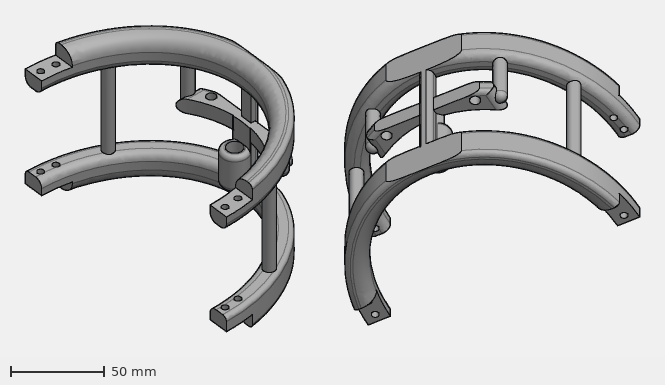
import cadquery as cq

HEIGHT = 100.0
BACK_Y = 92.2

INNER_RX = 69.0
INNER_RY = 82.5
RING_WIDTH = 13.5
OUTER_RX = INNER_RX + RING_WIDTH
OUTER_RY = INNER_RY + RING_WIDTH
RING_HEIGHT = 20.0
UPPER_RING_Z = HEIGHT - RING_HEIGHT
END_INNER_ROUND = 9.0
GAP_INNER_ROUND = 5.0
END_OUTER_ROUND = 3.0
UPPER_GAP_OUTER_ROUND = 5.0
LOWER_GAP_OUTER_ROUND = 3.0

TAB_LENGTH = 20.0
TAB_HEIGHT = RING_HEIGHT / 2
TAB_HOLE_DIAMETER = 4.2
TAB_HOLE_POINTS = [(75.6, 5.0), (74.6, 15.0)]

POST_RADIUS = 4.0
POST_EMBED = 8.0
POST_BOTTOM_Z = RING_HEIGHT - POST_EMBED
POST_TOP_Z = UPPER_RING_Z + POST_EMBED
SIDE_POST_X = 66.0
SIDE_POST_Y = 44.7
COLUMN_Y = 88.5
COLUMN_FRONT_Y = 85.5

ARM_Z = 50.0
ARM_THICKNESS = 10.0
ARM_HALF_LENGTH = 38.6
ARM_SETBACK = 0.5
ARM_OUTER_ROUND = 3.0
ARM_HOLE_DIAMETER = 6.0
ARM_HOLE_X = 26.9
ARM_HOLE_Y = 84.0
ARM_POST_Y = 77.5

PLATE_WIDTH = 14.3
PLATE_TAPER_Y = 82.3
PLATE_BOTTOM_Z = RING_HEIGHT / 2
BOSS_Y = 77.4
BOSS_RADIUS = 8.8
BOSS_HEIGHT = 25.0
BOSS_ROUND = 3.0
BORE_RADIUS = 5.0


def block(x_min, x_max, y_min, y_max, z_min, z_max):
    size = (x_max - x_min, y_max - y_min, z_max - z_min)
    return cq.Workplane("XY").box(*size, centered=False).translate((x_min, y_min, z_min))


def cylinder(x, y, radius, z_min, z_max):
    return cq.Workplane("XY", origin=(x, y, z_min)).circle(radius).extrude(z_max - z_min)


def ellipse_prism(rx, ry, z_min, z_max):
    return cq.Workplane("XY", origin=(0, 0, z_min)).ellipse(rx, ry).extrude(z_max - z_min)


def rounded_ellipse(rx, ry, z_min, z_max, bottom_round, top_round):
    prism = ellipse_prism(rx, ry, z_min, z_max)
    return prism.faces("<Z").edges().fillet(bottom_round).faces(">Z").edges().fillet(top_round)


def bore_edge(z):
    """Selector for the edge of a ring's bore that lies at height z."""
    margin = 1.0
    reach_x = INNER_RX + margin
    reach_y = INNER_RY + margin
    low_corner = (-reach_x, -reach_y, z - margin)
    high_corner = (reach_x, reach_y, z + margin)
    return cq.selectors.BoxSelector(low_corner, high_corner, boundingbox=True)


def ring(z, inner_rounds, outer_rounds):
    """Half-elliptical ring; each pair of rounds is (bottom, top)."""
    z_top = z + RING_HEIGHT
    bottom_inner, top_inner = inner_rounds
    body = rounded_ellipse(OUTER_RX, OUTER_RY, z, z_top, *outer_rounds)
    body = body.cut(ellipse_prism(INNER_RX, INNER_RY, z, z_top))
    body = body.edges(bore_edge(z)).fillet(bottom_inner)
    body = body.edges(bore_edge(z_top)).fillet(top_inner)
    return body.intersect(block(-OUTER_RX, OUTER_RX, 0, BACK_Y, z, z_top))


def cut_tabs(body, step_z, tab_z):
    """Remove half the ring height from step_z at the open ends and drill the tabs at tab_z."""
    body = body.cut(block(-OUTER_RX, OUTER_RX, 0, TAB_LENGTH, step_z, step_z + TAB_HEIGHT))
    for side in (-1, 1):
        for x, y in TAB_HOLE_POINTS:
            body = body.cut(cylinder(side * x, y, TAB_HOLE_DIAMETER / 2, tab_z, tab_z + TAB_HEIGHT))
    return body


def lower_ring():
    body = ring(
        0,
        (END_INNER_ROUND, GAP_INNER_ROUND),
        (END_OUTER_ROUND, LOWER_GAP_OUTER_ROUND),
    )
    return cut_tabs(body, 0, TAB_HEIGHT)


def upper_ring():
    body = ring(
        UPPER_RING_Z,
        (GAP_INNER_ROUND, END_INNER_ROUND),
        (UPPER_GAP_OUTER_ROUND, END_OUTER_ROUND),
    )
    return cut_tabs(body, HEIGHT - TAB_HEIGHT, UPPER_RING_Z)


def side_post(side):
    x = side * SIDE_POST_X
    return cylinder(x, SIDE_POST_Y, POST_RADIUS, POST_BOTTOM_Z, POST_TOP_Z)


def column():
    """Back column: round behind, squared off towards the inside of the frame."""
    round_back = cylinder(0, COLUMN_Y, POST_RADIUS, POST_BOTTOM_Z, POST_TOP_Z)
    square_front = block(-POST_RADIUS, POST_RADIUS, COLUMN_FRONT_Y, COLUMN_Y, POST_BOTTOM_Z, POST_TOP_Z)
    extent = block(-POST_RADIUS, POST_RADIUS, COLUMN_FRONT_Y, BACK_Y, POST_BOTTOM_Z, POST_TOP_Z)
    return round_back.union(square_front).intersect(extent)


def arm():
    """Elliptical arm with fully rounded ends, flat at the back."""
    z_top = ARM_Z + ARM_THICKNESS
    body = rounded_ellipse(OUTER_RX, OUTER_RY, ARM_Z, z_top, ARM_OUTER_ROUND, ARM_OUTER_ROUND)
    body = body.cut(ellipse_prism(INNER_RX + ARM_SETBACK, INNER_RY + ARM_SETBACK, ARM_Z, z_top))
    envelope = (
        cq.Workplane("XZ", origin=(0, 0, ARM_Z + ARM_THICKNESS / 2))
        .slot2D(2 * ARM_HALF_LENGTH, ARM_THICKNESS)
        .extrude(-COLUMN_Y)
    )
    body = body.intersect(envelope)
    for side in (-1, 1):
        body = body.cut(cylinder(side * ARM_HOLE_X, ARM_HOLE_Y, ARM_HOLE_DIAMETER / 2, ARM_Z, z_top))
    return body


def arm_post(side):
    """Post hanging from the upper ring, with a hemispherical lower end."""
    x = side * ARM_HALF_LENGTH
    z_ball = ARM_Z + POST_RADIUS
    tip = cq.Workplane("XY", origin=(x, ARM_POST_Y, z_ball)).sphere(POST_RADIUS)
    return cylinder(x, ARM_POST_Y, POST_RADIUS, z_ball, POST_TOP_Z).union(tip)


def plate():
    """Plate from the lower ring up to the arm, flush with the ring bore and tapering to the column."""
    z_top = ARM_Z + ARM_THICKNESS
    half_width = PLATE_WIDTH / 2
    outline = [
        (-half_width, BOSS_Y),
        (half_width, BOSS_Y),
        (half_width, PLATE_TAPER_Y),
        (POST_RADIUS, COLUMN_FRONT_Y),
        (-POST_RADIUS, COLUMN_FRONT_Y),
        (-half_width, PLATE_TAPER_Y),
    ]
    body = cq.Workplane("XY", origin=(0, 0, PLATE_BOTTOM_Z)).polyline(outline).close()
    body = body.extrude(z_top - PLATE_BOTTOM_Z)
    return body.cut(ellipse_prism(INNER_RX, INNER_RY, PLATE_BOTTOM_Z, z_top))


def boss():
    body = cylinder(0, BOSS_Y, BOSS_RADIUS, RING_HEIGHT, RING_HEIGHT + BOSS_HEIGHT)
    return body.edges().fillet(BOSS_ROUND)


def bore():
    return cylinder(0, BOSS_Y, BORE_RADIUS, RING_HEIGHT, RING_HEIGHT + BOSS_HEIGHT)


result = lower_ring().union(upper_ring()).union(column()).union(plate()).union(arm())
for side in (-1, 1):
    result = result.union(side_post(side)).union(arm_post(side))
result = result.union(boss()).cut(bore())